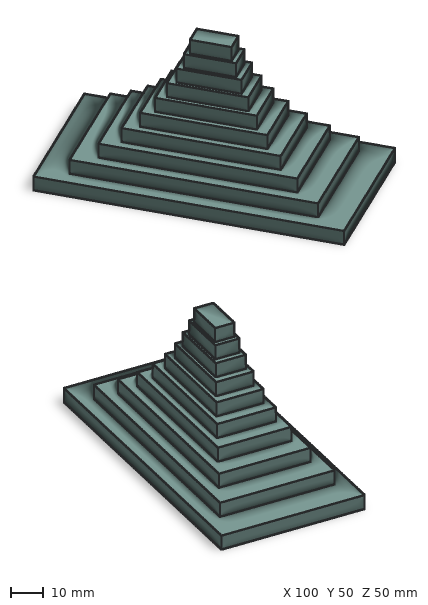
import cadquery as cq

base_length = 100.0
base_width = 50.0
total_height = 50.0
tier_count = 10
shrink_ratio = 0.8

tier_height = total_height / tier_count


def tier(level):
    """Rectangular slab for one level, counted from 0 at the base."""
    scale = shrink_ratio ** level
    slab = cq.Workplane("XY").box(
        base_length * scale,
        base_width * scale,
        tier_height,
        centered=(True, True, False),
    )
    return slab.translate((0, 0, level * tier_height))


result = tier(0)
for level in range(1, tier_count):
    result = result.union(tier(level))